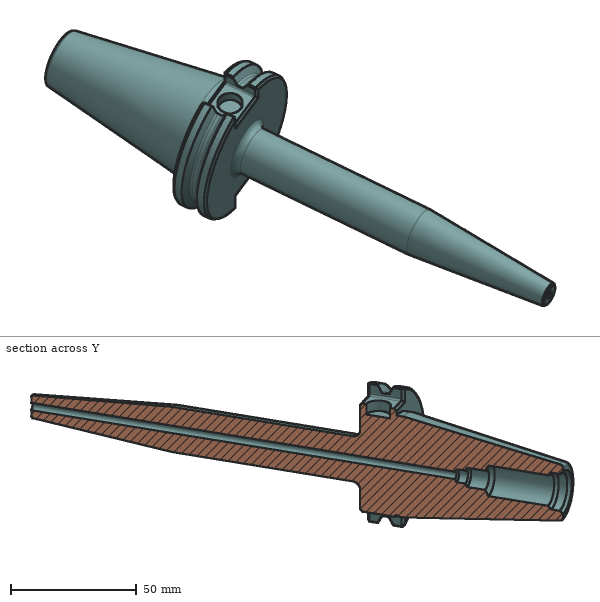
import cadquery as cq
import math

total_length = 228.2

gauge_length = 68.2
gauge_diameter = 44.5
taper_slope = 7 / 48
end_round = 1.5

flange_start = 71.5
flange_width = 15.7
flange_diameter = 63.5
flange_chamfer = 1.03
flange_chamfer_depth = 0.7
groove_width = 7.0
groove_depth = 3.7
groove_half_angle = 30.0
groove_round = 1.1

neck_radius = 10.0
neck_round = 3.0
nose_start = 167.5
nose_radius = 5.0
nose_chamfer = 0.7

slot_width = 16.0
slot_chamfer = 1.03
slot_mouth_chamfer = 0.5
slot_floor_round = 0.7
top_slot_floor = 25.0
bottom_slot_floor = 22.5
slot_hole_diameter = 10.0
slot_hole_depth = 4.5
slot_clearance = 2.3

through_radius = 1.5
mouth_radius = 9.4
counterbore_radius = 8.0
counterbore_depth = 5.0
thread_radius = 6.6
thread_depth = 32.0
pilot_radius = 4.0
pilot_depth = 41.0
seat_radius = 2.7
seat_depth = 45.6
drill_half_angle = 60.0

gauge_radius = gauge_diameter / 2
flange_radius = flange_diameter / 2
flange_end = flange_start + flange_width
flange_middle = flange_start + flange_width / 2
small_end_radius = gauge_radius - gauge_length * taper_slope


def make_body():
    """Taper, flange and nose turned as one profile."""
    land_radius = flange_radius - flange_chamfer_depth
    profile = (
        cq.Workplane("XZ")
        .moveTo(0, 0)
        .lineTo(0, small_end_radius)
        .lineTo(gauge_length, gauge_radius)
        .lineTo(flange_start, gauge_radius)
        .lineTo(flange_start, land_radius)
        .lineTo(flange_start + flange_chamfer, flange_radius)
        .lineTo(flange_end - flange_chamfer, flange_radius)
        .lineTo(flange_end, land_radius)
        .lineTo(flange_end, neck_radius + neck_round)
        .radiusArc((flange_end + neck_round, neck_radius), -neck_round)
        .lineTo(nose_start, neck_radius)
        .lineTo(total_length, nose_radius)
        .lineTo(total_length, 0)
        .close()
    )
    body = profile.revolve(360, (0, 0, 0), (1, 0, 0))
    body = body.faces("<X").edges().fillet(end_round)
    return body.faces(">X").edges().chamfer(nose_chamfer)


def make_groove():
    """V-groove ring with a flat, round-cornered floor."""
    flank_run = groove_depth * math.tan(math.radians(groove_half_angle))
    floor_radius = flange_radius - groove_depth
    rim_half = groove_width / 2
    floor_half = rim_half - flank_run
    ring = (
        cq.Workplane("XZ")
        .polyline([
            (flange_middle - rim_half, flange_radius),
            (flange_middle - floor_half, floor_radius),
            (flange_middle + floor_half, floor_radius),
            (flange_middle + rim_half, flange_radius),
        ])
        .close()
        .revolve(360, (0, 0, 0), (1, 0, 0))
    )
    floor_edges = cq.selectors.RadiusNthSelector(0)
    return ring.edges(floor_edges).fillet(groove_round)


def make_slot(floor):
    """Driving slot on the +Z side, with all its edge breaks."""
    half = slot_width / 2
    top = flange_radius + slot_clearance
    rim_half = half + slot_mouth_chamfer
    rim_height = math.sqrt(flange_radius**2 - rim_half**2)
    flare_start = rim_height - slot_mouth_chamfer
    flare_half = half + (top - flare_start)
    channel = (
        cq.Workplane("YZ")
        .workplane(offset=flange_start)
        .polyline([
            (-half, floor),
            (half, floor),
            (half, flare_start),
            (flare_half, top),
            (-flare_half, top),
            (-half, flare_start),
        ])
        .close()
        .extrude(flange_width)
        .edges("|X and <Z")
        .fillet(slot_floor_round)
    )

    def face_break(x, direction):
        """Wedge that narrows to the channel outline, going in from a flange face."""
        width = slot_width + 2 * slot_chamfer
        low = floor - slot_chamfer
        return (
            cq.Workplane("YZ", origin=(x, 0, (low + top) / 2))
            .rect(width, top - low)
            .extrude(direction * slot_chamfer, taper=45)
        )

    return channel.union(face_break(flange_start, 1)).union(face_break(flange_end, -1))


def make_slot_hole():
    """Blind round hole in the floor of the upper slot."""
    return (
        cq.Workplane("XY", origin=(flange_middle, 0, top_slot_floor - slot_hole_depth))
        .circle(slot_hole_diameter / 2)
        .extrude(slot_hole_depth)
    )


def make_bore():
    """Stepped bore from the taper end, with a small hole right through."""
    point_slope = math.tan(math.radians(drill_half_angle))
    thread_point = (thread_radius - pilot_radius) / point_slope
    pilot_point = (pilot_radius - seat_radius) / point_slope
    seat_point = (seat_radius - through_radius) / point_slope
    mouth_depth = mouth_radius - counterbore_radius
    step = counterbore_radius - thread_radius
    return (
        cq.Workplane("XZ")
        .polyline([
            (0, 0),
            (0, mouth_radius),
            (mouth_depth, counterbore_radius),
            (counterbore_depth, counterbore_radius),
            (counterbore_depth + step, thread_radius),
            (thread_depth, thread_radius),
            (thread_depth + thread_point, pilot_radius),
            (pilot_depth, pilot_radius),
            (pilot_depth + pilot_point, seat_radius),
            (seat_depth, seat_radius),
            (seat_depth + seat_point, through_radius),
            (total_length, through_radius),
            (total_length, 0),
        ])
        .close()
        .revolve(360, (0, 0, 0), (1, 0, 0))
    )


top_slot = make_slot(top_slot_floor)
bottom_slot = make_slot(bottom_slot_floor).mirror("XY")

result = (
    make_body()
    .cut(make_groove())
    .cut(top_slot)
    .cut(bottom_slot)
    .cut(make_slot_hole())
    .cut(make_bore())
)